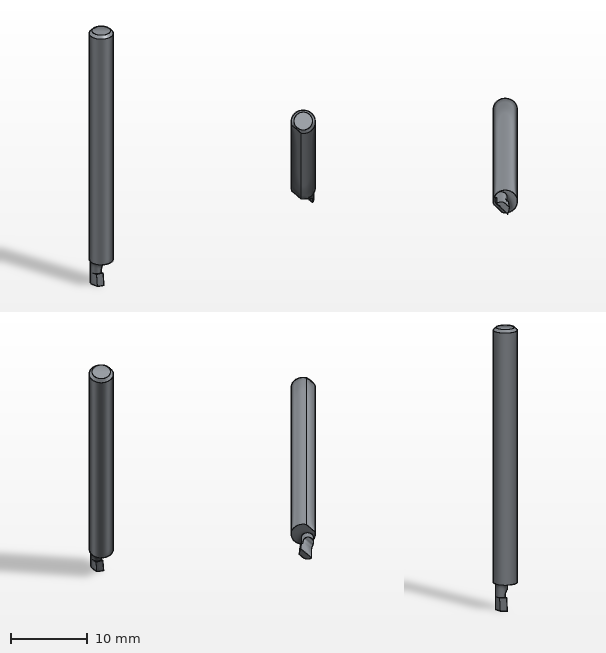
import cadquery as cq
import math

length = 38.1
shank_diameter = 3.15
shank_radius = shank_diameter / 2
depth_across_flat = 2.95
flat_y = depth_across_flat - shank_radius
shank_bottom = 3.85
chamfer = 0.4

neck_radius = 0.8
neck_x = neck_radius - shank_radius
rake_runout_radius = 0.75
rake_top = 2.85

tooth_height = 1.83
tip_x = 0.45
tooth_lean = 0.15
heel_x = -0.05
relief_x = 0.15
relief_y = -0.55

end_rise = 0.057


def make_shank():
    shank = cq.Workplane("XY").workplane(offset=shank_bottom).circle(shank_radius)
    shank = shank.extrude(length - shank_bottom).faces(">Z").chamfer(chamfer)
    clearance = cq.Workplane("XY").box(
        shank_diameter, shank_diameter, length, centered=(True, False, False)
    )
    return shank.cut(clearance.translate((0, flat_y, 0)))


def make_neck():
    neck = cq.Workplane("XY").center(neck_x, 0).circle(neck_radius).extrude(shank_bottom)
    arc_offset = rake_runout_radius * (1 - math.sqrt(0.5))
    rake_cut = (
        cq.Workplane("YZ")
        .lineTo(0, rake_top - rake_runout_radius)
        .threePointArc((arc_offset, rake_top - arc_offset), (rake_runout_radius, rake_top))
        .lineTo(shank_radius, rake_top)
        .lineTo(shank_radius, 0)
        .close()
        .extrude(shank_radius, both=True)
    )
    return neck.cut(rake_cut)


def tooth_outline(lean):
    return [
        (neck_x, 0),
        (neck_x, -neck_radius),
        (heel_x - lean, -neck_radius),
        (relief_x - lean, relief_y),
        (tip_x - lean, 0),
    ]


def make_tooth():
    return (
        cq.Workplane("XY")
        .polyline(tooth_outline(0))
        .close()
        .workplane(offset=tooth_height)
        .polyline(tooth_outline(tooth_lean))
        .close()
        .loft(ruled=True)
    )


def make_end_relief():
    tip = cq.Vector(tip_x, 0, 0)
    rise_per_x = end_rise / (tip_x + shank_radius)
    rise_per_y = end_rise / neck_radius
    end_plane = cq.Plane(origin=tip, normal=(rise_per_x, rise_per_y, 1))
    return cq.Workplane(end_plane).circle(length / 2).extrude(-shank_bottom)


result = make_shank().union(make_neck()).union(make_tooth()).cut(make_end_relief())